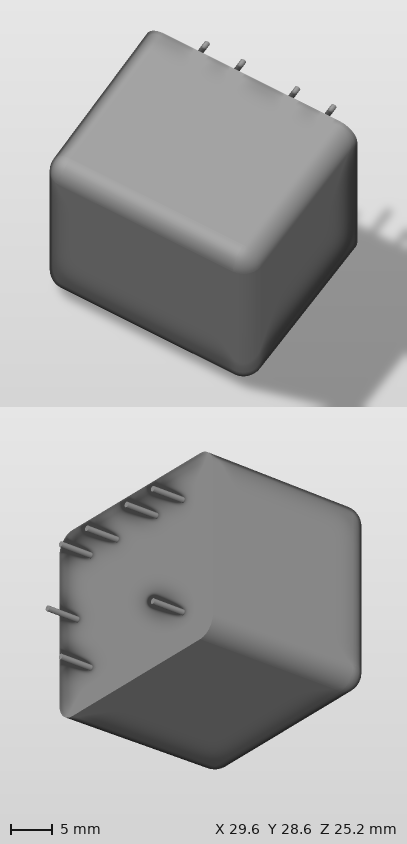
import cadquery as cq

WIDTH = 29.62
HEIGHT = 25.2
DEPTH = 23.95
DRAFT_ANGLE = 0.5
EDGE_RADIUS = 2.5

WALL = EDGE_RADIUS
BASE_WIDTH = WIDTH - 2 * WALL
BASE_HEIGHT = HEIGHT - 2 * WALL
BASE_THICKNESS = WALL

TOTAL_DEPTH = 28.6
PIN_LENGTH = TOTAL_DEPTH - DEPTH
PIN_DIAMETER = 0.7
ROW_OFFSET = 7.6
PITCH = ROW_OFFSET / 3
FIRST_PIN_X = -9.1
PIN_GRID = [(0, 3), (0, -3), (2, 3), (5, 3), (7, 3), (7, -3), (8, 0)]


def rear_plane():
    """Plane of the rear face, with local x along +X, local y along +Z and its normal along -Y."""
    return cq.Workplane("XZ")


def base_plate():
    return rear_plane().rect(BASE_WIDTH, BASE_HEIGHT).extrude(BASE_THICKNESS)


def make_housing():
    """Drafted box, rounded on every edge except those of the rear face, recessed for the base."""
    box = rear_plane().rect(WIDTH, HEIGHT).extrude(DEPTH, taper=DRAFT_ANGLE)
    rounded = box.edges("not(>Y)").fillet(EDGE_RADIUS)
    return rounded.cut(base_plate())


def make_base():
    """Base plate and its pins as one solid."""
    centres = [(FIRST_PIN_X + column * PITCH, row * PITCH) for column, row in PIN_GRID]
    pins = rear_plane().pushPoints(centres).circle(PIN_DIAMETER / 2).extrude(-PIN_LENGTH)
    return base_plate().union(pins)


housing = make_housing()
base = make_base()

result = cq.Compound.makeCompound([housing.val(), base.val()])